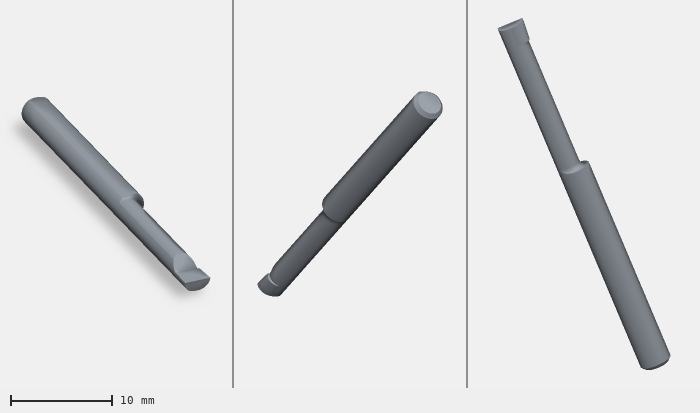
import cadquery as cq

total_length = 38.1
shank_diameter = 3.15
flatted_height = 2.9
shank_radius = shank_diameter / 2
flat_height = flatted_height - shank_radius
end_chamfer = 0.4

neck_diameter = 2.48
neck_radius = neck_diameter / 2
neck_offset = -0.45
shoulder_x = 21.85
shoulder_fillet = 0.57

ramp_end_x = 35.62
cutting_height = 0.0
ramp_fillet = 0.4

head_start_x = 35.9
head_start_y = 0.95
tip_y = 1.1
end_face_skew = 0.08
end_relief = 0.2


def rod(radius, y, start, end):
    """Cylinder along X between two stations, with its axis at height zero."""
    return cq.Workplane("YZ", origin=(start, y, 0)).circle(radius).extrude(end - start)


def make_blank():
    """Full-length shank bar with a chamfered rear end and a clamping flat."""
    blank = rod(shank_radius, 0, 0, total_length).faces("<X").chamfer(end_chamfer)
    flat_cut = cq.Workplane("XY", origin=(0, 0, flat_height)).rect(
        2 * total_length, 4 * shank_radius
    ).extrude(shank_radius)
    return blank.cut(flat_cut)


def make_neck_envelope():
    """Space kept around the neck axis, flaring to the shoulder through a fillet."""
    outer_radius = 3 * shank_radius
    flare_radius = neck_radius + shoulder_fillet
    diagonal = shoulder_fillet * 0.5 ** 0.5
    fillet_end_x = shoulder_x + shoulder_fillet
    return (
        cq.Workplane("XY", origin=(0, neck_offset, 0))
        .lineTo(0, outer_radius)
        .lineTo(shoulder_x, outer_radius)
        .lineTo(shoulder_x, flare_radius)
        .threePointArc(
            (fillet_end_x - diagonal, flare_radius - diagonal),
            (fillet_end_x, neck_radius),
        )
        .lineTo(total_length, neck_radius)
        .lineTo(total_length, 0)
        .close()
        .revolve(360, (0, 0, 0), (1, 0, 0))
    )


def make_head_envelope():
    """Widened head: the neck round moved back to the tip, trimmed to a tapered plan."""
    head_round = rod(neck_radius, tip_y - neck_radius, head_start_x, total_length)
    plan = (
        cq.Workplane("XY", origin=(0, 0, -shank_radius))
        .moveTo(head_start_x, neck_offset)
        .lineTo(total_length, neck_offset)
        .lineTo(total_length, tip_y)
        .lineTo(head_start_x, head_start_y)
        .close()
        .extrude(2 * shank_radius)
    )
    return head_round.intersect(plan)


def make_ramp_cut():
    """Material above the cutting plane and the 45 degree ramp blending into it."""
    clearance = 2 * shank_radius
    return (
        cq.Workplane("XZ")
        .moveTo(ramp_end_x, cutting_height)
        .lineTo(total_length + clearance, cutting_height)
        .lineTo(total_length + clearance, cutting_height + clearance)
        .lineTo(ramp_end_x - clearance, cutting_height + clearance)
        .close()
        .extrude(clearance, both=True)
        .faces("<Z")
        .edges("|Y")
        .edges("<X")
        .fillet(ramp_fillet)
    )


def make_end_cut():
    """Material beyond the end face, which is skewed in plan and relieved below."""
    face_slope = end_relief / neck_radius
    depth = 2 * shank_radius
    width = tip_y + shank_radius

    def section(y, face_x):
        lower_x = face_x - face_slope * depth
        outer_x = total_length + depth
        points = [(face_x, 0), (outer_x, 0), (outer_x, -depth), (lower_x, -depth)]
        corners = [cq.Vector(x, y, cutting_height + z) for x, z in points]
        return cq.Wire.makePolygon(corners, close=True)

    front = section(tip_y - width, total_length - end_face_skew)
    back = section(tip_y, total_length)
    return cq.Workplane(obj=cq.Solid.makeLoft([front, back], True))


envelope = make_neck_envelope().union(make_head_envelope())
result = make_blank().intersect(envelope).cut(make_ramp_cut()).cut(make_end_cut())